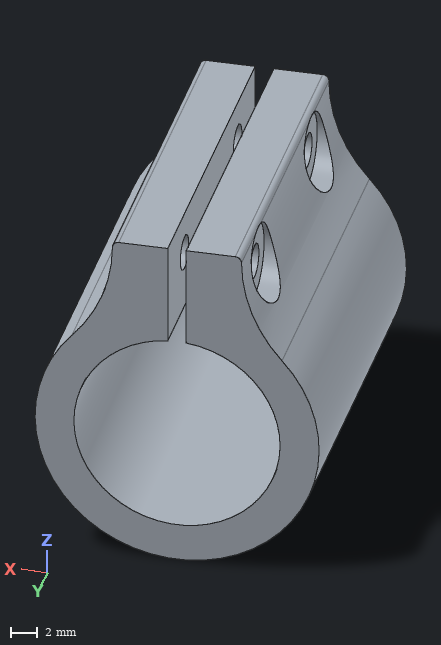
import cadquery as cq
import math

length = 28.0
outer_diameter = 22.0
bore_diameter = 15.95
top_height = 16.0
ears_width = 10.0
flank_radius = 12.0
slit_width = 1.43

screw_diameter = 2.7
head_diameter = 6.0
screw_height = 12.6
screw_spacing = 17.0
screw_shift = 0.15
recess_depth = 0.28

outer_radius = outer_diameter / 2
ear_x = ears_width / 2
recess_floor_x = ear_x - recess_depth
flank_center_x = ear_x + flank_radius
center_distance = outer_radius + flank_radius
flank_center_z = math.sqrt(center_distance**2 - flank_center_x**2)
tangent_x = flank_center_x * outer_radius / center_distance
tangent_z = flank_center_z * outer_radius / center_distance

tip_radius = top_height - flank_center_z
tip_x = ear_x - tip_radius


def point_on_arc(center_x, center_z, radius, angle):
    """Point at the given angle (radians from +X) on an arc of the profile."""
    return (center_x + radius * math.cos(angle), center_z + radius * math.sin(angle))


def mirrored(point):
    return (-point[0], point[1])


def make_body():
    tangent_angle = math.atan2(tangent_z, tangent_x)
    flank_mid = point_on_arc(
        flank_center_x, flank_center_z, flank_radius, math.pi + tangent_angle / 2
    )
    tip_mid = point_on_arc(tip_x, flank_center_z, tip_radius, math.pi / 4)
    flank_top = (ear_x, flank_center_z)
    flank_bottom = (tangent_x, tangent_z)
    tip_end = (tip_x, top_height)
    return (
        cq.Workplane("XZ")
        .moveTo(*mirrored(tip_end))
        .lineTo(*tip_end)
        .threePointArc(tip_mid, flank_top)
        .threePointArc(flank_mid, flank_bottom)
        .threePointArc((0, -outer_radius), mirrored(flank_bottom))
        .threePointArc(mirrored(flank_mid), mirrored(flank_top))
        .threePointArc(mirrored(tip_mid), mirrored(tip_end))
        .close()
        .extrude(length / 2, both=True)
    )


def make_bore():
    return cq.Workplane("XZ").circle(bore_diameter / 2).extrude(length / 2, both=True)


def make_slit():
    return cq.Workplane("XY").box(
        slit_width, length, top_height, centered=(True, True, False)
    )


def make_screw_hole(y):
    """Through hole with a head recess sunk into the ear on the -X flank."""
    axis_plane = cq.Workplane("YZ", origin=(0, y, screw_height))
    shank = axis_plane.circle(screw_diameter / 2).extrude(outer_radius, both=True)
    recess = (
        axis_plane.workplane(offset=-recess_floor_x)
        .circle(head_diameter / 2)
        .extrude(recess_floor_x - outer_radius)
    )
    return shank.union(recess)


result = make_body().cut(make_bore()).cut(make_slit())
for side in (-1, 1):
    result = result.cut(make_screw_hole(screw_shift + side * screw_spacing / 2))